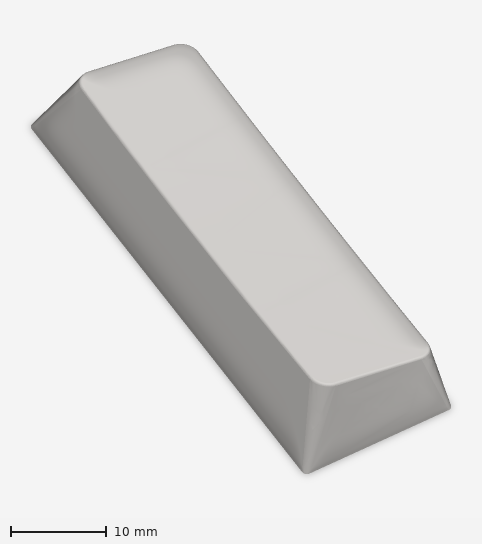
import cadquery as cq
import math

length = 56.2
depth = 18.1
base_corner_radius = 0.55

end_inset = 3.0
front_inset = 3.65
back_inset = 0.2
front_height = 8.8
back_height = 6.05
top_corner_radius = 2.0

dish_depth = 0.45
rim_radius = 0.35

top_length = length - 2 * end_inset
top_run = depth - front_inset - back_inset
top_drop = front_height - back_height
top_depth = math.hypot(top_run, top_drop)
dish_radius = ((top_length / 2) ** 2 + dish_depth**2) / (2 * dish_depth)

top_plane = cq.Plane(
    origin=(0, (front_inset - back_inset) / 2, (front_height + back_height) / 2),
    xDir=(1, 0, 0),
    normal=(0, top_drop, top_run),
)


def tapered_block():
    """Block whose sides join the base outline straight to the tilted top outline."""
    base = cq.Sketch().rect(length, depth).vertices().fillet(base_corner_radius)
    top = cq.Sketch().rect(top_length, top_depth).vertices().fillet(top_corner_radius)
    return cq.Workplane().placeSketch(base, top.moved(cq.Location(top_plane))).loft(ruled=True)


def dish_cutter():
    """Large cylinder that follows the slope and overshoots the front and back edges."""
    cutter_length = 3 * top_depth
    axis_height = dish_radius - dish_depth
    start = top_plane.toWorldCoords((0, -cutter_length / 2, axis_height))
    return cq.Workplane(cq.Solid.makeCylinder(dish_radius, cutter_length, start, top_plane.yDir))


dished_block = tapered_block().cut(dish_cutter())
result = dished_block.faces(">Z").edges().fillet(rim_radius)